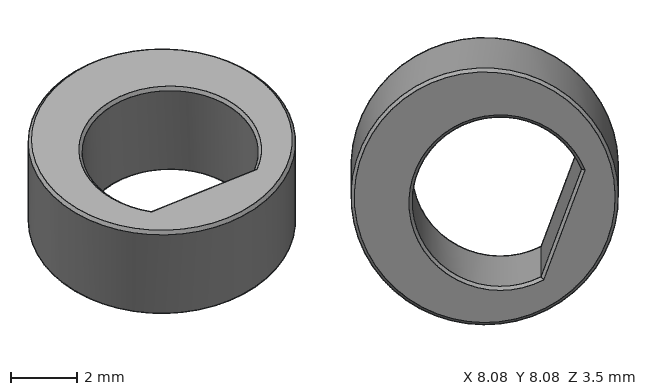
import math

import cadquery as cq

outer_diameter = 8.08
height = 3.5
bore_diameter = 5.32
bore_offset = 0.5
flat_distance = 1.96
edge_chamfer = 0.1


def ring_blank():
    """Solid disc standing on the XY plane, chamfered on both outer rims."""
    disc = cq.Workplane("XY").circle(outer_diameter / 2).extrude(height)
    return disc.faces("|Z").edges().chamfer(edge_chamfer)


def d_shaped_plug():
    """Full-height solid of the bore: a cylinder with one flat on its +X side."""
    radius = bore_diameter / 2
    half_flat = math.sqrt(radius**2 - flat_distance**2)
    return (
        cq.Workplane("XY")
        .center(bore_offset, 0)
        .moveTo(flat_distance, -half_flat)
        .lineTo(flat_distance, half_flat)
        .threePointArc((-radius, 0), (flat_distance, -half_flat))
        .close()
        .extrude(height)
    )


def cut_d_bore(body):
    """Cut the D-shaped through bore and chamfer its mouth at both ends."""
    bored = body.cut(d_shaped_plug())
    mouth_reach = bore_diameter / 2 + edge_chamfer
    around_bore = cq.selectors.BoxSelector(
        (bore_offset - mouth_reach, -mouth_reach, -edge_chamfer),
        (bore_offset + mouth_reach, mouth_reach, height + edge_chamfer),
        boundingbox=True,
    )
    return bored.edges(around_bore).edges("not |Z").chamfer(edge_chamfer)


result = cut_d_bore(ring_blank())